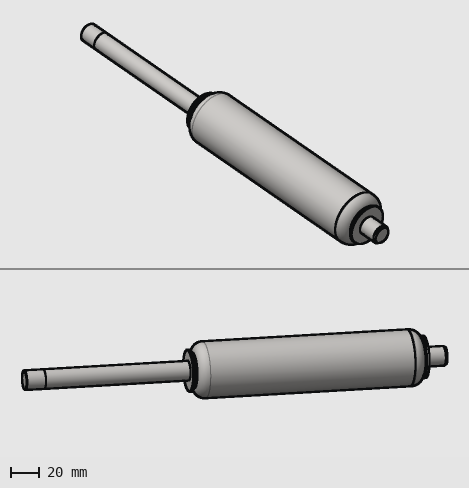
import cadquery as cq
import math


total_length = 304.0
body_radius = 40.0 / 2
flange_radius = 29.8 / 2
neck_radius = 25.0 / 2
rear_neck_radius = 14.0
cap_shoulder_radius = 8.2
rod_radius = 14.0 / 2
tip_length = 14.0
tip_chamfer = 0.45
flange_thickness = 1.8
flange_chamfer = 0.45
front_neck_length = 1.8
rear_neck_length = 1.0
flange_start = 118.3
stud_length = 15.2
stud_chamfer_length = 1.5
stud_chamfer_depth = 1.0
cap_straight = 1.0
rod_socket_depth = 15.2

shoulder_radius = body_radius - neck_radius
housing_start = flange_start + flange_thickness + front_neck_length
rod_end = housing_start + rod_socket_depth
stud_start = total_length - stud_length
cap_shoulder_end = stud_start - flange_thickness - rear_neck_length
cap_arc_centre_radius = body_radius - cap_shoulder_radius
cap_arc_angle = math.acos((rear_neck_radius - cap_arc_centre_radius) / cap_shoulder_radius)
cap_arc_start = cap_shoulder_end - cap_shoulder_radius * math.sin(cap_arc_angle)
cap_start = cap_arc_start - cap_straight
arc_offset = shoulder_radius * math.sqrt(0.5)


def cylinder(start, length, radius):
    """Solid cylinder running along +X from the given start."""
    return cq.Workplane("YZ", origin=(start, 0, 0)).circle(radius).extrude(length)


def revolve_profile(profile):
    """Turn a closed half-profile (X, radius) about the X axis."""
    return profile.close().revolve(360, (0, 0), (1, 0))


def make_housing():
    """Body with a rounded front shoulder, a neck, a chamfered flange and a blind rod socket."""
    arc_centre_x = housing_start + shoulder_radius
    flange_end = flange_start + flange_thickness
    profile = (
        cq.Workplane("XY")
        .moveTo(flange_start, 0)
        .lineTo(flange_start, flange_radius - flange_chamfer)
        .lineTo(flange_start + flange_chamfer, flange_radius)
        .lineTo(flange_end - flange_chamfer, flange_radius)
        .lineTo(flange_end, flange_radius - flange_chamfer)
        .lineTo(flange_end, neck_radius)
        .lineTo(housing_start, neck_radius)
        .threePointArc(
            (arc_centre_x - arc_offset, neck_radius + arc_offset),
            (arc_centre_x, body_radius),
        )
        .lineTo(cap_start, body_radius)
        .lineTo(cap_start, 0)
    )
    socket = cylinder(flange_start, rod_end - flange_start, rod_radius)
    return revolve_profile(profile).cut(socket)


def make_rear_cap():
    """Rounded end cap with a short neck, a flange and a chamfered stud."""
    half_angle = cap_arc_angle / 2
    flange_front = cap_shoulder_end + rear_neck_length
    profile = (
        cq.Workplane("XY")
        .moveTo(cap_start, 0)
        .lineTo(cap_start, body_radius)
        .lineTo(cap_arc_start, body_radius)
        .threePointArc(
            (
                cap_arc_start + cap_shoulder_radius * math.sin(half_angle),
                cap_arc_centre_radius + cap_shoulder_radius * math.cos(half_angle),
            ),
            (cap_shoulder_end, rear_neck_radius),
        )
        .lineTo(flange_front, rear_neck_radius)
        .lineTo(flange_front, flange_radius)
        .lineTo(stud_start, flange_radius)
        .lineTo(stud_start, rod_radius)
        .lineTo(total_length - stud_chamfer_length, rod_radius)
        .lineTo(total_length, rod_radius - stud_chamfer_depth)
        .lineTo(total_length, 0)
    )
    return revolve_profile(profile)


def make_rod():
    """Plain rod from the back of the tip to the bottom of the housing socket."""
    return cylinder(tip_length, rod_end - tip_length, rod_radius)


def make_rod_tip():
    """End piece that continues the rod at the same diameter, with a small front chamfer."""
    return cylinder(0, tip_length, rod_radius).faces("<X").chamfer(tip_chamfer)


housing = make_housing()
rear_cap = make_rear_cap()
rod = make_rod()
rod_tip = make_rod_tip()

result = cq.Compound.makeCompound([housing.val(), rear_cap.val(), rod.val(), rod_tip.val()])